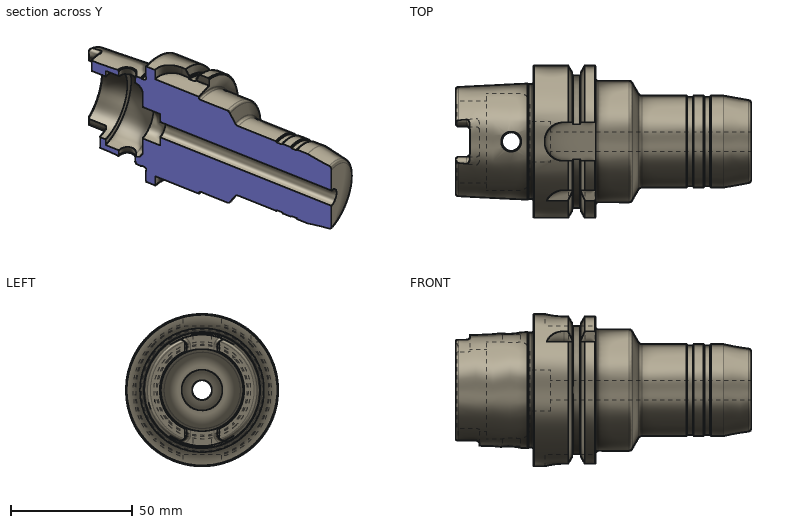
import cadquery as cq
import math

total_length = 122.0
flange_start = 32.0
flange_end = 57.8
flange_radius = 31.5
flange_edge_chamfer = 0.43

shank_radius = 24.0
shank_taper_end = 29.6
taper_per_side = 1 / 20
shank_end_round = 1.2
relief_depth = 0.2
relief_start = 30.3
relief_fillet = 0.9
face_recess_radius = 25.6
face_recess_depth = 0.1

groove_radius = 27.5
groove_top_start = 46.4
groove_top_end = 53.3
groove_floor_start = 48.2
groove_floor_end = 51.6
groove_wall_top = 28.5
groove_fillet = 0.4

body_radius = 25.1
body_end = 72.3
body_fillet = 0.9
nose_radius = 19.0
shoulder_angle = 60
shoulder_round = 1.6
nose_taper_start = 110.4
nose_end_radius = 17.0
nose_end_round = 1.5

ring_radius = 18.5
ring_starts = (95.2, 102.2)
ring_width = 3.2
ring_side = 0.5

bore_radius = 17.0
bore_chamfer = 0.5
bore_depth = 12.7
cavity_radius = 20.0
cavity_depth = 30.5
cavity_fillet = 4.3
socket_radius = 8.4
socket_depth = 39.0
through_radius = 4.0

cross_hole_x = 22.9
cross_hole_radius = 3.8
cross_hole_rim_width = 0.4
cross_hole_rim_depth = 0.7

drive_half_width = 6.2
drive_top_depth = 5.9
drive_bottom_depth = 9.8
drive_edge_round = 3.0
drive_shelf_height = 20.9
drive_end_fillet = 1.5
drive_lead_in = 0.9

slot_width = 16.0
slot_radius = slot_width / 2
slot_centre_x = 44.7
slot_floor = 26.5
notch_offset = 20.0

clearance = 6.1


def fillet_ring(solid, x, radius, fillet):
    """Round the circular edge of the given radius that lies at position x."""
    near = 0.01
    reach = radius + near
    disc = cq.selectors.BoxSelector((x - near, -reach, -reach), (x + near, reach, reach), boundingbox=True)
    largest = cq.selectors.RadiusNthSelector(-1)
    return solid.edges(disc).edges(largest).fillet(fillet)


def half_turn(solid):
    """Carry a +Z side feature round the X axis to the -Z side."""
    return solid.rotate((0, 0, 0), (1, 0, 0), 180)


def revolve_profile(points):
    """Turn a closed outline of (x, radius) points around the X axis."""
    return cq.Workplane("XY").polyline(points).close().revolve(360, (0, 0), (1, 0))


def turned_outside():
    shank_end_radius = shank_radius - shank_taper_end * taper_per_side
    relief_radius = shank_radius - relief_depth
    recess_x = flange_start + face_recess_depth
    c = flange_edge_chamfer
    shoulder_end = body_end + (body_radius - nose_radius) / math.tan(math.radians(shoulder_angle))
    profile = [
        (0, 0),
        (0, shank_end_radius),
        (shank_taper_end, shank_radius),
        (relief_start, relief_radius),
        (recess_x, relief_radius),
        (recess_x, face_recess_radius),
        (flange_start, face_recess_radius),
        (flange_start, flange_radius - c),
        (flange_start + c, flange_radius),
        (groove_top_start, flange_radius),
        (groove_floor_start, groove_wall_top),
        (groove_floor_start, groove_radius),
        (groove_floor_end, groove_radius),
        (groove_floor_end, groove_wall_top),
        (groove_top_end, flange_radius),
        (flange_end - c, flange_radius),
        (flange_end, flange_radius - c),
        (flange_end, body_radius),
        (body_end, body_radius),
        (shoulder_end, nose_radius),
        (nose_taper_start, nose_radius),
        (total_length, nose_end_radius),
        (total_length, 0),
    ]
    solid = revolve_profile(profile)
    for x, radius, fillet in [
        (0, shank_end_radius, shank_end_round),
        (recess_x, relief_radius, relief_fillet),
        (groove_floor_start, groove_radius, groove_fillet),
        (groove_floor_end, groove_radius, groove_fillet),
        (flange_end, body_radius, body_fillet),
        (body_end, body_radius, shoulder_round),
        (shoulder_end, nose_radius, shoulder_round),
        (total_length, nose_end_radius, nose_end_round),
    ]:
        solid = fillet_ring(solid, x, radius, fillet)
    return solid


def ring_groove(start):
    end = start + ring_width
    profile = [
        (start, nose_radius),
        (start + ring_side, ring_radius),
        (end - ring_side, ring_radius),
        (end, nose_radius),
    ]
    return revolve_profile(profile)


def cavity():
    profile = [
        (0, 0),
        (0, bore_radius + bore_chamfer),
        (bore_chamfer, bore_radius),
        (bore_depth, bore_radius),
        (bore_depth, cavity_radius),
        (cavity_depth, cavity_radius),
        (cavity_depth, socket_radius),
        (socket_depth, socket_radius),
        (socket_depth, through_radius),
        (total_length, through_radius),
        (total_length, 0),
    ]
    hollow = revolve_profile(profile)
    return fillet_ring(hollow, cavity_depth, cavity_radius, cavity_fillet)


def cross_hole():
    reach = 2 * shank_radius
    hole = cq.Workplane("XY", origin=(cross_hole_x, 0, -reach / 2)).circle(cross_hole_radius).extrude(reach)
    surface = shank_radius - (shank_taper_end - cross_hole_x) * taper_per_side
    rim_radius = cross_hole_radius + cross_hole_rim_width
    rim_floor = surface - cross_hole_rim_depth
    rim = cq.Workplane("XY", origin=(cross_hole_x, 0, rim_floor)).circle(rim_radius).extrude(clearance)
    return hole.union(rim).union(half_turn(rim))


def drive_slot(depth):
    """Slot on the +Z side whose outer edges are rounded over."""
    w = drive_half_width
    r = drive_edge_round
    arc_start = drive_shelf_height - r
    diagonal = r * math.cos(math.radians(45))
    arc_mid = (w + r - diagonal, arc_start + diagonal)
    top = shank_radius + clearance
    side = shank_radius
    slot = (
        cq.Workplane("YZ", origin=(-clearance, 0, 0))
        .moveTo(-w, 0)
        .lineTo(w, 0)
        .lineTo(w, arc_start)
        .threePointArc(arc_mid, (w + r, drive_shelf_height))
        .lineTo(side, drive_shelf_height)
        .lineTo(side, top)
        .lineTo(-side, top)
        .lineTo(-side, drive_shelf_height)
        .lineTo(-w - r, drive_shelf_height)
        .threePointArc((-arc_mid[0], arc_mid[1]), (-w, arc_start))
        .close()
        .extrude(depth + clearance)
        .faces(">X")
        .edges()
        .fillet(drive_end_fillet)
    )
    lead_in = (
        cq.Workplane("XY")
        .polyline([(0, -w - drive_lead_in), (0, w + drive_lead_in), (drive_lead_in, w), (drive_lead_in, -w)])
        .close()
        .extrude(drive_shelf_height)
    )
    return slot.union(lead_in)


def round_ended_slot(centre_y, floor):
    """Slot of the flange, milled from +Z down to the floor and open towards the body."""
    run = flange_end - slot_centre_x
    depth = flange_radius - floor + clearance
    plane = cq.Workplane("XY", origin=(slot_centre_x, centre_y, floor))
    round_end = plane.circle(slot_radius).extrude(depth)
    straight = plane.box(run, 2 * slot_radius, depth, centered=(False, True, False))
    return round_end.union(straight)


result = turned_outside()
for start in ring_starts:
    result = result.cut(ring_groove(start))
result = result.cut(cavity())
result = result.cut(cross_hole())
result = result.cut(drive_slot(drive_top_depth))
result = result.cut(half_turn(drive_slot(drive_bottom_depth)))
top_slot = round_ended_slot(0, slot_floor)
result = result.cut(top_slot).cut(half_turn(top_slot))
result = result.cut(round_ended_slot(-notch_offset - slot_radius, notch_offset))